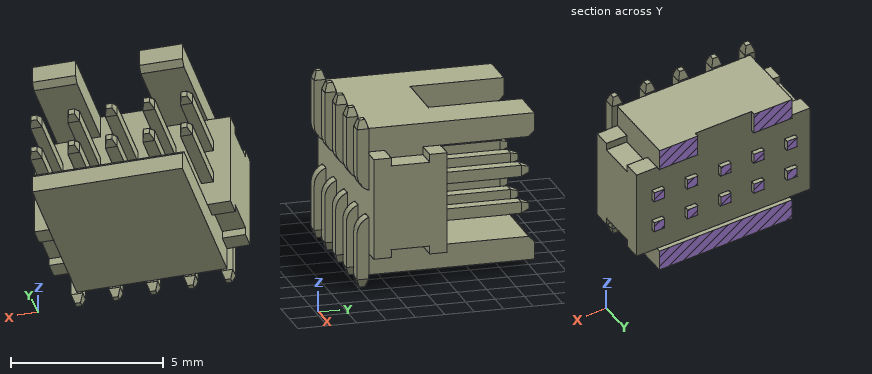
import cadquery as cq

PITCH = 1.27
PIN_COLUMNS = 5
PIN_WIDTH = 0.4
TIP_WIDTH = 0.2
TIP_LENGTH = 0.3
BEND_RADIUS = 0.6
PIN_SETBACK = 0.21
OVERALL_HEIGHT = 5.8

HOUSING_WIDTH = PITCH * (PIN_COLUMNS - 1)
HOUSING_HEIGHT = HOUSING_WIDTH
HOUSING_LENGTH = 5.7
BLOCK_WIDTH = 6.65
BLOCK_HEIGHT = 3.45
BLOCK_LENGTH = 2.5
WALL_THICKNESS = (HOUSING_HEIGHT - BLOCK_HEIGHT) / 2
LEAD_IN_CHAMFER = 0.2
KEY_SLOT_WIDTH = 2.15
EAR_NOTCH_LENGTH = 1.305
EAR_NOTCH_DEPTH = 0.27


def box(width, length, height, y_start, x_center=0, z_center=0):
    """Box centred in X and Z that runs from y_start towards +Y."""
    center = (x_center, y_start + length / 2, z_center)
    return cq.Workplane("XY").box(width, length, height).translate(center)


def make_top_wall():
    """Full-length top wall with its inner front edge chamfered."""
    wall_center = (HOUSING_HEIGHT - WALL_THICKNESS) / 2
    wall = box(HOUSING_WIDTH, HOUSING_LENGTH, WALL_THICKNESS, 0, z_center=wall_center)
    return wall.faces(">Y").edges("<Z").chamfer(LEAD_IN_CHAMFER)


def make_housing():
    block = box(BLOCK_WIDTH, BLOCK_LENGTH, BLOCK_HEIGHT, 0)

    ear_width = (BLOCK_WIDTH - HOUSING_WIDTH) / 2
    ear_center = (BLOCK_WIDTH - ear_width) / 2
    notch_start = (BLOCK_LENGTH - EAR_NOTCH_LENGTH) / 2
    notch_center = (BLOCK_HEIGHT - EAR_NOTCH_DEPTH) / 2
    for x in (-ear_center, ear_center):
        for z in (-notch_center, notch_center):
            block = block.cut(box(ear_width, EAR_NOTCH_LENGTH, EAR_NOTCH_DEPTH, notch_start, x, z))

    top_wall = make_top_wall()
    bottom_wall = top_wall.mirror("XY")

    slot_length = HOUSING_LENGTH - BLOCK_LENGTH
    slot_center = (HOUSING_HEIGHT - WALL_THICKNESS) / 2
    key_slot = box(KEY_SLOT_WIDTH, slot_length, WALL_THICKNESS, BLOCK_LENGTH, z_center=slot_center)
    return block.union(top_wall.cut(key_slot)).union(bottom_wall)


def make_tip(base_plane):
    """Square frustum tapering from the pin section, along the plane normal."""
    return (
        base_plane.rect(PIN_WIDTH, PIN_WIDTH)
        .workplane(offset=TIP_LENGTH)
        .rect(TIP_WIDTH, TIP_WIDTH)
        .loft()
    )


def make_upper_pin():
    """Pin of the upper row at X = 0: mating end along +Y, solder leg up along +Z."""
    row_z = PITCH / 2
    bottom = row_z - PIN_WIDTH / 2
    top = row_z + PIN_WIDTH / 2
    mating_end = HOUSING_LENGTH - PIN_SETBACK - TIP_LENGTH
    leg_end = OVERALL_HEIGHT / 2 - TIP_LENGTH
    inner_radius = BEND_RADIUS - PIN_WIDTH
    bend_z = bottom + BEND_RADIUS

    shank = (
        cq.Workplane("YZ", origin=(-PIN_WIDTH / 2, 0, 0))
        .moveTo(mating_end, bottom)
        .lineTo(inner_radius, bottom)
        .radiusArc((-PIN_WIDTH, bend_z), BEND_RADIUS)
        .lineTo(-PIN_WIDTH, leg_end)
        .lineTo(0, leg_end)
        .lineTo(0, bend_z)
        .radiusArc((inner_radius, top), -inner_radius)
        .lineTo(mating_end, top)
        .close()
        .extrude(PIN_WIDTH)
    )
    mating_tip = make_tip(cq.Workplane("ZX", origin=(0, mating_end, row_z)))
    leg_tip = make_tip(cq.Workplane("XY", origin=(0, -PIN_WIDTH / 2, leg_end)))
    return shank.union(mating_tip).union(leg_tip)


result = make_housing()
upper_pin = make_upper_pin()
lower_pin = upper_pin.mirror("XY")
for column in range(PIN_COLUMNS):
    pin_x = (column - (PIN_COLUMNS - 1) / 2) * PITCH
    for pin in (upper_pin, lower_pin):
        result = result.union(pin.translate((pin_x, 0, 0)))